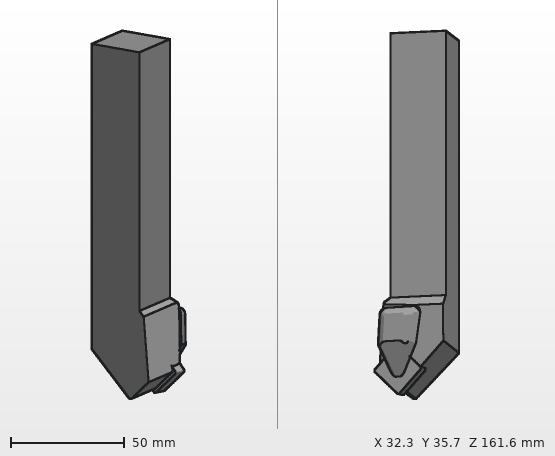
import cadquery as cq
import math

TOTAL_HEIGHT = 161.6
SHANK_SIZE = 25.0
SIDE_DRAFT = 0.2

HEAD_DEPTH = 29.7
SHOULDER_TOP = 43.3
SIDE_SHOULDER = 2.3
FLANK_ANGLE = 5.0
FLANK_BOTTOM = 11.5
HEAD_BOTTOM = 2.5
LEFT_BEVEL_TOP = 22.1

INSERT_SIDE = 15.8
INSERT_THICKNESS = 6.3
INSERT_CORNER_RADIUS = 0.8
INSERT_X = 21.5
INSERT_Y = 26.3
INSERT_Z = 10.8
INSERT_TURN = 45.0
RAKE_ANGLE = 7.6

CLAMP_HEIGHT = 6.8
CLAMP_KNEE_Z = 22.0
CLAMP_LEFT_X = 12.6
CLAMP_RIGHT_X = 29.9
CLAMP_TOP_Z = 38.3
CLAMP_NOSE_Z = 7.6
CLAMP_LEFT_SKEW = 10.0
CLAMP_LEFT_TURN = 25.0
CLAMP_RIGHT_TURN = 23.0
CLAMP_LEFT_LEAN = 22.0
CLAMP_RIGHT_LEAN = 12.0
CLAMP_TOP_LEAN = 10.0
CLAMP_NOSE_LEAN = 66.0
CLAMP_CORNER_RADIUS = 2.9
CLAMP_EDGE_RADIUS = 4.4
CLAMP_NOSE_RADIUS = 2.1
CLAMP_MIDDLE_X = (CLAMP_LEFT_X + CLAMP_RIGHT_X) / 2

BIG = 242.4
EDGE_MARGIN = 0.3


def tilted(part):
    """Place a part built on the plane y = 0 onto the tilted rake face."""
    axis_start = (INSERT_X, INSERT_Y, INSERT_Z)
    axis_end = (INSERT_X + 1.6, INSERT_Y, INSERT_Z + 1.6)
    return part.translate((0, INSERT_Y, 0)).rotate(axis_start, axis_end, -RAKE_ANGLE)


def holder_blank():
    """Shank and head: the outline along Y crossed with the outline along X."""
    flank_top = SHOULDER_TOP - SIDE_SHOULDER
    flank_top_x = SHANK_SIZE + SIDE_SHOULDER
    flank_bottom_x = flank_top_x + (flank_top - FLANK_BOTTOM) * math.tan(math.radians(FLANK_ANGLE))
    front = (
        cq.Workplane("XZ")
        .polyline([
            (0, TOTAL_HEIGHT),
            (SHANK_SIZE, TOTAL_HEIGHT),
            (SHANK_SIZE, SHOULDER_TOP),
            (flank_top_x, flank_top),
            (flank_bottom_x, FLANK_BOTTOM),
            (flank_bottom_x - (FLANK_BOTTOM - HEAD_BOTTOM), HEAD_BOTTOM),
            (LEFT_BEVEL_TOP - HEAD_BOTTOM, HEAD_BOTTOM),
            (0, LEFT_BEVEL_TOP),
        ])
        .close()
        .extrude(-HEAD_DEPTH)
    )
    back_shoulder = HEAD_DEPTH - SHANK_SIZE
    side = (
        cq.Workplane("YZ")
        .polyline([
            (0, 0),
            (HEAD_DEPTH, 0),
            (HEAD_DEPTH, SHOULDER_TOP - back_shoulder),
            (SHANK_SIZE, SHOULDER_TOP),
            (SHANK_SIZE, TOTAL_HEIGHT),
            (0, TOTAL_HEIGHT),
        ])
        .close()
        .extrude(BIG)
    )
    draft = (
        cq.Workplane("XY")
        .polyline([(0, 0), (SIDE_DRAFT, 0), (0, HEAD_DEPTH)])
        .close()
        .extrude(TOTAL_HEIGHT)
    )
    return front.intersect(side).cut(draft)


def rake_space():
    """Everything outside the tilted face that the insert and the clamp sit on."""
    space = cq.Workplane("XY").box(BIG, BIG, BIG, centered=(True, False, True))
    return tilted(space)


def outside_wall(x, z, heading, lean):
    """Space beyond a clamp side through (x, z) at the base, facing `heading` and leaning inwards."""
    space = cq.Workplane("XY").box(BIG, BIG, BIG, centered=(False, True, True))
    return (
        space.rotate((0, 0, 0), (0, 0, 1), lean)
        .rotate((0, 0, 0), (0, 1, 0), -heading)
        .translate((x, 0, z))
    )


def trimmed_block(walls):
    """A block of the clamp's height, cut back to the given sides."""
    block = (
        cq.Workplane("XY")
        .box(BIG / 2, CLAMP_HEIGHT, BIG / 2, centered=(True, False, True))
        .translate((CLAMP_MIDDLE_X, 0, CLAMP_KNEE_Z))
    )
    for x, z, heading, lean in walls:
        block = block.cut(outside_wall(x, z, heading, lean))
    return block


def rising_edges(lowest_z, highest_y):
    """Selector for the clamp edges centred above lowest_z and between the base and highest_y."""
    return cq.selectors.BoxSelector(
        (-BIG, EDGE_MARGIN, lowest_z),
        (BIG, highest_y - EDGE_MARGIN, CLAMP_TOP_Z),
    )


def clamp():
    """Clamp with leaning sides, a sloped nose and rounded edges."""
    body = trimmed_block([
        (CLAMP_LEFT_X, CLAMP_KNEE_Z, 180 + CLAMP_LEFT_SKEW, CLAMP_LEFT_LEAN),
        (CLAMP_RIGHT_X, CLAMP_KNEE_Z, FLANK_ANGLE, CLAMP_RIGHT_LEAN),
        (CLAMP_MIDDLE_X, CLAMP_TOP_Z, 90, CLAMP_TOP_LEAN),
    ])
    body = body.faces(">Y").edges("not <Z").fillet(CLAMP_EDGE_RADIUS)
    straight_height = CLAMP_HEIGHT - CLAMP_EDGE_RADIUS
    body = body.edges(rising_edges(CLAMP_KNEE_Z, straight_height)).fillet(CLAMP_CORNER_RADIUS)

    nose = trimmed_block([
        (CLAMP_LEFT_X, CLAMP_KNEE_Z, 180 + CLAMP_LEFT_TURN, CLAMP_LEFT_LEAN),
        (CLAMP_RIGHT_X, CLAMP_KNEE_Z, -CLAMP_RIGHT_TURN, CLAMP_RIGHT_LEAN),
        (CLAMP_MIDDLE_X, CLAMP_NOSE_Z, -90, CLAMP_NOSE_LEAN),
    ])
    nose = nose.edges(rising_edges(CLAMP_NOSE_Z, CLAMP_HEIGHT)).fillet(CLAMP_NOSE_RADIUS)
    return tilted(body.intersect(nose))


def insert():
    """Square insert with rounded corners, its outer face flush with the tilted face."""
    plate = (
        cq.Workplane("XZ")
        .rect(INSERT_SIDE, INSERT_SIDE)
        .extrude(INSERT_THICKNESS)
        .edges("|Y")
        .fillet(INSERT_CORNER_RADIUS)
        .rotate((0, 0, 0), (0, 1, 0), INSERT_TURN)
        .translate((INSERT_X, 0, INSERT_Z))
    )
    return tilted(plate)


cutting_insert = insert()

holder = holder_blank().cut(rake_space()).union(clamp()).cut(cutting_insert)

result = cq.Compound.makeCompound([holder.val(), cutting_insert.val()])